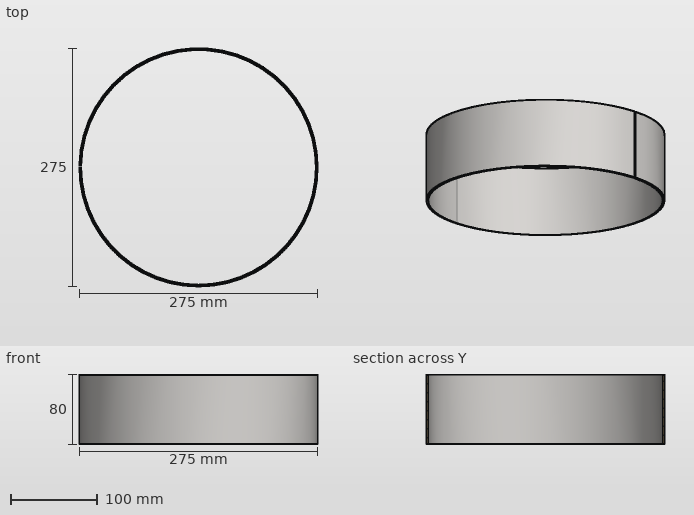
import cadquery as cq

outer_diameter = 275.0
height = 80.0
wall = 2.42
rim_chamfer = 0.5
slit_width = 2.5

outer_radius = outer_diameter / 2
inner_radius = outer_radius - wall

disc = cq.Workplane("XY").circle(outer_radius).extrude(height)
disc = disc.faces("<Z or >Z").edges().chamfer(rim_chamfer)
bore = cq.Workplane("XY").circle(inner_radius).extrude(height)
band = disc.cut(bore)

slit_length = 4 * wall
slit = (
    cq.Workplane("XY")
    .center(-outer_radius, slit_width / 2)
    .rect(slit_length, slit_width)
    .extrude(height)
)

result = band.cut(slit)